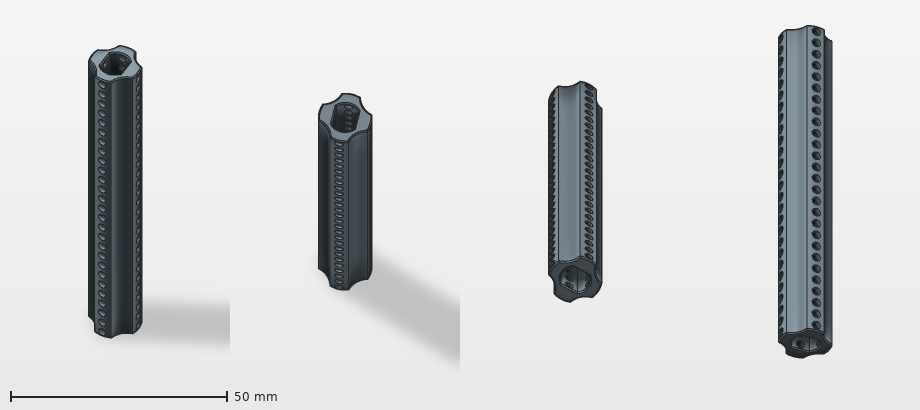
import cadquery as cq

length = 84.4
hole_count = 27
hole_diameter = 2.0
outer_diameter = 12.5
flute_radius = 5.0
bore_diameter = 7.0
bore_width = 5.3
end_chamfer = 0.3

outer_radius = outer_diameter / 2
bore_radius = bore_diameter / 2
hole_radius = hole_diameter / 2
hole_pitch = length / hole_count
flute_distance = 2 * flute_radius
flute_count = 4
first_flute_angle = 45


def make_body():
    """Round bar with a flute on each diagonal, leaving four arms along X and Y."""
    flutes = (
        cq.Workplane("XY")
        .polarArray(flute_distance, first_flute_angle, 360, flute_count)
        .circle(flute_radius)
        .extrude(length)
    )
    return cq.Workplane("XY").circle(outer_radius).extrude(length).cut(flutes)


def make_bore():
    """Through bore: a circle trimmed by two flats facing along X."""
    flats = cq.Workplane("XY").rect(bore_width, bore_diameter).extrude(length)
    return cq.Workplane("XY").circle(bore_radius).extrude(length).intersect(flats)


def make_cross_holes(plane):
    """One evenly spaced row of holes running right through two opposite arms."""
    centres = [(0, (i + 0.5) * hole_pitch) for i in range(hole_count)]
    return (
        cq.Workplane(plane)
        .pushPoints(centres)
        .circle(hole_radius)
        .extrude(outer_radius, both=True)
    )


result = make_body().cut(make_bore())
result = result.faces("<Z or >Z").chamfer(end_chamfer)
for plane in ("XZ", "YZ"):
    result = result.cut(make_cross_holes(plane))